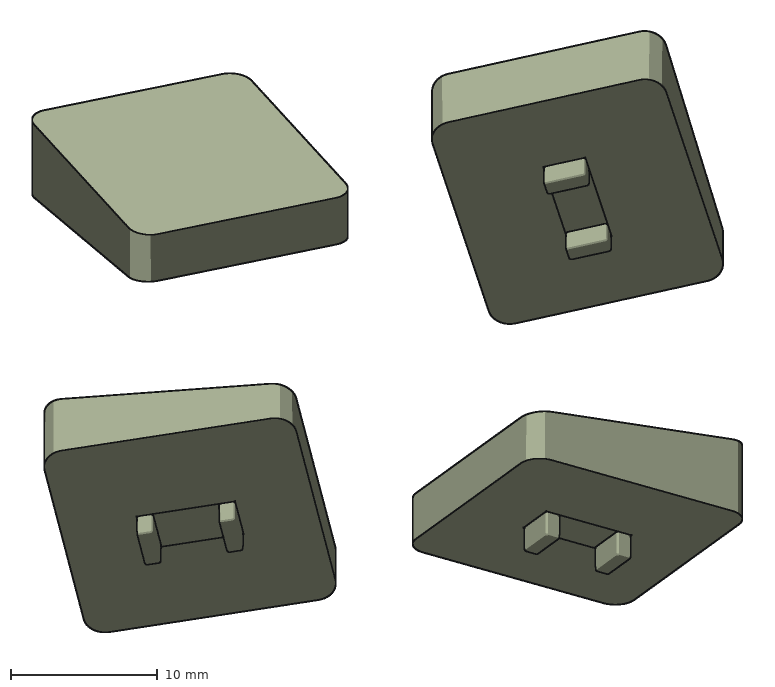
import cadquery as cq
import math

cap_length = 17.5
cap_width = 16.5
cap_tall_height = 5.65
cap_slope_angle = 7.0
cap_corner_radius = 1.5
cap_short_height = cap_tall_height - cap_length * math.tan(math.radians(cap_slope_angle))

leg_height = 1.8
leg_root_thickness = 1.15
leg_width = 2.98
leg_spacing = 5.7
leg_draft_angle = 0.5
leg_edge_radius = 0.2
leg_tip_thickness = leg_root_thickness - 2 * leg_height * math.tan(math.radians(leg_draft_angle))
bridge_length = leg_spacing + leg_root_thickness
bridge_height = 1.0


def make_bridge():
    """Plate that joins the two leg roots; it also gives the shape of the recess in the cap."""
    return cq.Workplane("XY").box(
        bridge_length, leg_width, bridge_height, centered=(True, True, False)
    )


def make_leg(center_x):
    """Leg that narrows in X towards its tip, with all edges rounded except at the root."""
    return (
        cq.Workplane("XZ")
        .polyline([
            (-leg_root_thickness / 2, 0),
            (leg_root_thickness / 2, 0),
            (leg_tip_thickness / 2, -leg_height),
            (-leg_tip_thickness / 2, -leg_height),
        ])
        .close()
        .extrude(leg_width / 2, both=True)
        .edges("not >Z")
        .fillet(leg_edge_radius)
        .translate((center_x, 0, 0))
    )


def make_stem():
    """Bridge and both legs as one solid."""
    stem = make_bridge()
    for side in (-1, 1):
        stem = stem.union(make_leg(side * leg_spacing / 2))
    return stem


def make_cap():
    """Wedge-topped block with a recess in its underside for the bridge."""
    block = (
        cq.Workplane("XZ")
        .polyline([
            (-cap_length / 2, 0),
            (cap_length / 2, 0),
            (cap_length / 2, cap_short_height),
            (-cap_length / 2, cap_tall_height),
        ])
        .close()
        .extrude(cap_width / 2, both=True)
        .edges("|Z")
        .fillet(cap_corner_radius)
    )
    return block.cut(make_bridge())


cap = make_cap()
stem = make_stem()

result = cq.Compound.makeCompound([cap.solids().val(), stem.solids().val()])